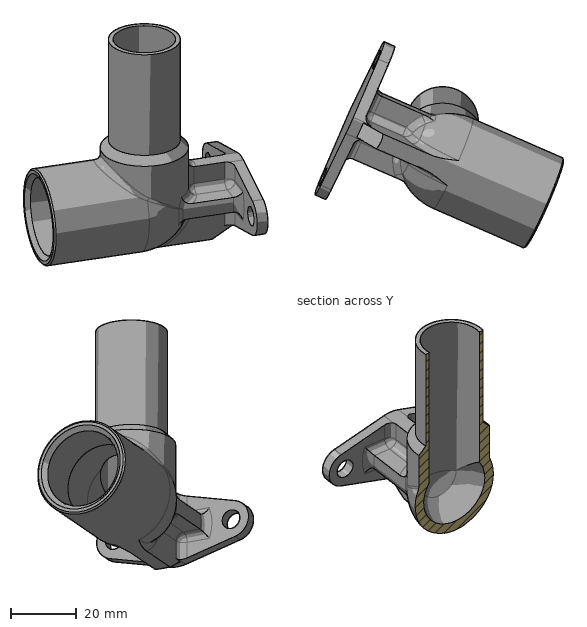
import cadquery as cq
import math


SPIGOT_TOP = 55.0
SPIGOT_RADIUS = 22.0 / 2
SPIGOT_BORE_RADIUS = 19.0 / 2
COLLAR_RADIUS = 27.0 / 2
SHOULDER_TOP = 21.0
SHOULDER_BOTTOM = SHOULDER_TOP - (COLLAR_RADIUS - SPIGOT_RADIUS)

SOCKET_RADIUS = 30.0 / 2
SOCKET_BORE_RADIUS = 24.1 / 2
TUBE_SEAT_RADIUS = 24.12 / 2
TUBE_SEAT_DEPTH = 15.0
SOCKET_FRONT_Y = -34.0
SOCKET_END_Y = -3.5
SOCKET_BORE_END_Y = -6.0
MOUTH_RADIUS = 27.0 / 2
RIM_CHAMFER = 0.5

PLATE_BACK_Y = 31.0
PLATE_THICKNESS = 3.5
PLATE_FRONT_Y = PLATE_BACK_Y - PLATE_THICKNESS
PLATE_HUB_RADIUS = 11.0
EAR_OFFSET = 20.0
EAR_RADIUS = 6.0
EAR_HOLE_DIAMETER = 6.0
PLATE_SPAN = 2 * (EAR_OFFSET + EAR_RADIUS)

RIB_THICKNESS = 5.0
FOOT_ANGLE = 30.0

FILLET_RADIUS = 2.5
THROAT_FILLET_RADIUS = 2.0

TOLERANCE = 0.1


def round_ended_rod(radius, top):
    """Vertical rod around Z with a hemispherical bottom centred on the origin."""
    diagonal = radius * math.sqrt(0.5)
    profile = (
        cq.Workplane("XZ")
        .moveTo(0, -radius)
        .threePointArc((diagonal, -diagonal), (radius, 0))
        .lineTo(radius, top)
        .lineTo(0, top)
        .close()
    )
    return profile.revolve(360, (0, 0, 0), (0, 1, 0))


def domed_rod(radius, front_y, end_y, ball_radius):
    """Rod around Y whose end narrows along a tangent arc onto a ball centred on the origin."""
    meeting = ball_radius * math.sqrt(0.5)
    cap_angle = math.radians(45) / 2
    cap_middle = (ball_radius * math.sin(cap_angle), ball_radius * math.cos(cap_angle))
    profile = (
        cq.Workplane("XY")
        .moveTo(0, front_y)
        .lineTo(radius, front_y)
        .lineTo(radius, end_y)
        .tangentArcPoint((meeting, meeting), relative=False)
        .threePointArc(cap_middle, (0, ball_radius))
        .close()
    )
    return profile.revolve(360, (0, 0, 0), (0, 1, 0))


def rod_along_y(radius, start_y, end_y):
    """Plain cylinder centred on the Y axis."""
    return cq.Workplane("XZ", origin=(0, start_y, 0)).circle(radius).extrude(start_y - end_y)


def elbow_body():
    """Solid socket with the solid collar standing on it."""
    socket = domed_rod(SOCKET_RADIUS, SOCKET_FRONT_Y, SOCKET_END_Y, COLLAR_RADIUS)
    socket = socket.faces("<Y").chamfer(RIM_CHAMFER)
    collar = round_ended_rod(COLLAR_RADIUS, SHOULDER_BOTTOM)
    return socket.union(collar)


def bar_along_y(width, height, start_y, end_y):
    """Rectangular bar centred on the Y axis."""
    return cq.Workplane("XZ", origin=(0, start_y, 0)).rect(width, height).extrude(start_y - end_y)


def crossed_ribs():
    """Upright and level ribs reaching the plate front, filleted along their inner corners."""
    upright = bar_along_y(RIB_THICKNESS, 2 * SOCKET_RADIUS, 0, PLATE_FRONT_Y)
    level = bar_along_y(2 * SOCKET_RADIUS, RIB_THICKNESS, 0, PLATE_FRONT_Y)
    level = level.intersect(rod_along_y(PLATE_HUB_RADIUS, 0, PLATE_FRONT_Y))
    core = cq.selectors.BoxSelector(
        (-RIB_THICKNESS, 0, -RIB_THICKNESS),
        (RIB_THICKNESS, PLATE_FRONT_Y, RIB_THICKNESS),
    )
    return upright.union(level).edges("|Y").edges(core).fillet(FILLET_RADIUS)


def ribbed_plate():
    """Ribs filleted onto an oversized slab, then trimmed together to the mount outline."""
    slab = bar_along_y(PLATE_SPAN, PLATE_SPAN, PLATE_FRONT_Y, PLATE_BACK_Y)
    joined = slab.union(crossed_ribs())
    slab_front = joined.faces("|Y").faces(">Y[-2]").val()
    rib_joint = [edge for wire in slab_front.innerWires() for edge in wire.Edges()]
    blended = joined.newObject(rib_joint).fillet(FILLET_RADIUS)
    holes = (
        cq.Workplane("XZ", origin=(0, PLATE_BACK_Y, 0))
        .pushPoints([(-EAR_OFFSET, 0), (EAR_OFFSET, 0)])
        .circle(EAR_HOLE_DIAMETER / 2)
        .extrude(PLATE_THICKNESS)
    )
    return blended.intersect(mount_outline()).cut(holes)


def mount_outline():
    """Prism whose section is the hub circle joined to both ears by tangent flanks."""
    sine = (PLATE_HUB_RADIUS - EAR_RADIUS) / EAR_OFFSET
    cosine = math.sqrt(1 - sine**2)
    hub_x, hub_z = PLATE_HUB_RADIUS * sine, PLATE_HUB_RADIUS * cosine
    ear_x, ear_z = EAR_OFFSET + EAR_RADIUS * sine, EAR_RADIUS * cosine
    ear_tip = EAR_OFFSET + EAR_RADIUS
    outline = (
        cq.Workplane("XZ", origin=(0, PLATE_BACK_Y, 0))
        .moveTo(-hub_x, hub_z)
        .threePointArc((0, PLATE_HUB_RADIUS), (hub_x, hub_z))
        .lineTo(ear_x, ear_z)
        .threePointArc((ear_tip, 0), (ear_x, -ear_z))
        .lineTo(hub_x, -hub_z)
        .threePointArc((0, -PLATE_HUB_RADIUS), (-hub_x, -hub_z))
        .lineTo(-ear_x, -ear_z)
        .threePointArc((-ear_tip, 0), (-ear_x, ear_z))
        .close()
    )
    return outline.extrude(PLATE_BACK_Y)


def foot():
    """Lower part of the upright rib, sloping up to the front of the plate."""
    slope_run = (SOCKET_RADIUS - PLATE_HUB_RADIUS) / math.tan(math.radians(FOOT_ANGLE))
    profile = (
        cq.Workplane("YZ", origin=(-RIB_THICKNESS / 2, 0, 0))
        .moveTo(SOCKET_END_Y, 0)
        .lineTo(SOCKET_END_Y, -SOCKET_RADIUS)
        .lineTo(PLATE_FRONT_Y - slope_run, -SOCKET_RADIUS)
        .lineTo(PLATE_FRONT_Y, -PLATE_HUB_RADIUS)
        .lineTo(PLATE_FRONT_Y, 0)
        .close()
    )
    underside = rod_along_y(SOCKET_RADIUS, SOCKET_END_Y, PLATE_FRONT_Y)
    return profile.extrude(RIB_THICKNESS).intersect(underside)


def body_joints(solid):
    """Corner edges among socket, collar and ribs, without the smooth seams of the elbow end."""
    smooth_seams = (SOCKET_END_Y, COLLAR_RADIUS * math.sqrt(0.5))
    joints = []
    for edge in solid.edges().vals():
        box = edge.BoundingBox()
        near_elbow = box.ymin > -SOCKET_RADIUS and box.ymax < COLLAR_RADIUS + TOLERANCE
        below_shoulder = box.zmax < SHOULDER_BOTTOM - TOLERANCE
        on_seam = any(
            max(abs(box.ymin - seam), abs(box.ymax - seam)) < TOLERANCE for seam in smooth_seams
        )
        if near_elbow and below_shoulder and not on_seam:
            joints.append(edge)
    return joints


def is_throat(edge):
    """True for the corner between socket and collar."""
    box = edge.BoundingBox()
    return box.ymin < 0 and box.zmin > 0


def blended_elbow():
    """Elbow, plate and ribs in one solid, filleted at the throat first and then around the ribs."""
    solid = elbow_body().union(ribbed_plate()).union(foot())
    throat = [edge for edge in body_joints(solid) if is_throat(edge)]
    solid = solid.newObject(throat).fillet(THROAT_FILLET_RADIUS)
    rib_joints = [edge for edge in body_joints(solid) if not is_throat(edge)]
    return solid.newObject(rib_joints).fillet(FILLET_RADIUS)


def spigot():
    """Upright tube blank with the conical shoulder that leads down to the collar."""
    tube = cq.Workplane("XY").circle(SPIGOT_RADIUS).extrude(SPIGOT_TOP)
    shoulder = (
        cq.Workplane("XY", origin=(0, 0, SHOULDER_BOTTOM))
        .circle(COLLAR_RADIUS)
        .workplane(offset=SHOULDER_TOP - SHOULDER_BOTTOM)
        .circle(SPIGOT_RADIUS)
        .loft()
    )
    return tube.union(shoulder)


def passage():
    """Hollow inside: spigot bore, domed socket bore, tube seat and mouth bevel."""
    bore = round_ended_rod(SPIGOT_BORE_RADIUS, SPIGOT_TOP)
    socket_bore = domed_rod(SOCKET_BORE_RADIUS, SOCKET_FRONT_Y, SOCKET_BORE_END_Y, SPIGOT_BORE_RADIUS)
    seat = rod_along_y(TUBE_SEAT_RADIUS, SOCKET_FRONT_Y, SOCKET_FRONT_Y + TUBE_SEAT_DEPTH)
    bevel = (
        cq.Workplane("XZ", origin=(0, SOCKET_FRONT_Y, 0))
        .circle(MOUTH_RADIUS)
        .workplane(offset=-(MOUTH_RADIUS - TUBE_SEAT_RADIUS))
        .circle(TUBE_SEAT_RADIUS)
        .loft()
    )
    return bore.union(socket_bore).union(seat).union(bevel)


result = blended_elbow().union(spigot()).cut(passage())